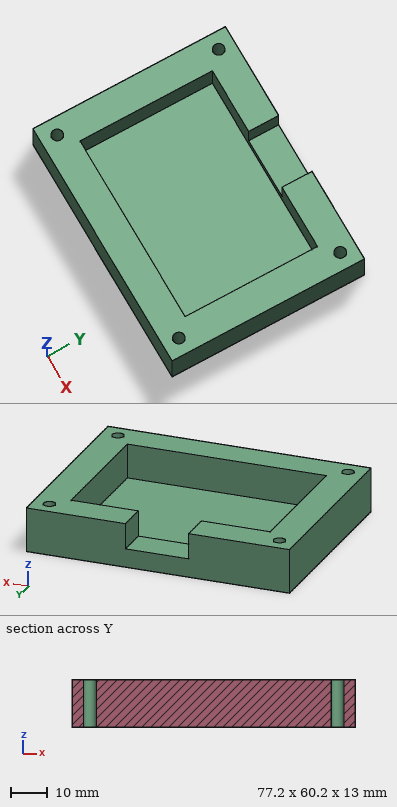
import cadquery as cq

length = 77.2
width = 60.2
height = 13.0

wall = 9.4
pocket_depth = 10.0

notch_start = 29.6
notch_width = 18.5
notch_depth = 7.5

hole_diameter = 3.4
hole_inset = 4.9


def make_block():
    """Solid block centred in X and Y, standing on Z = 0."""
    return cq.Workplane("XY").box(length, width, height, centered=(True, True, False))


def cut_pocket(body):
    """Rectangular pocket open at the top."""
    return (
        body.faces(">Z").workplane(origin=(0, 0, height))
        .rect(length - 2 * wall, width - 2 * wall)
        .cutBlind(-pocket_depth)
    )


def cut_notch(body):
    """Slot joining the pocket to the +Y side."""
    notch = cq.Workplane("XY").box(notch_width, wall, notch_depth, centered=False)
    corner = (notch_start - length / 2, width / 2 - wall, height - notch_depth)
    return body.cut(notch.translate(corner))


def drill_corner_holes(body):
    """Through holes, one in each corner."""
    holes = (
        cq.Workplane("XY")
        .rect(length - 2 * hole_inset, width - 2 * hole_inset, forConstruction=True)
        .vertices()
        .circle(hole_diameter / 2)
        .extrude(height)
    )
    return body.cut(holes)


result = drill_corner_holes(cut_notch(cut_pocket(make_block())))